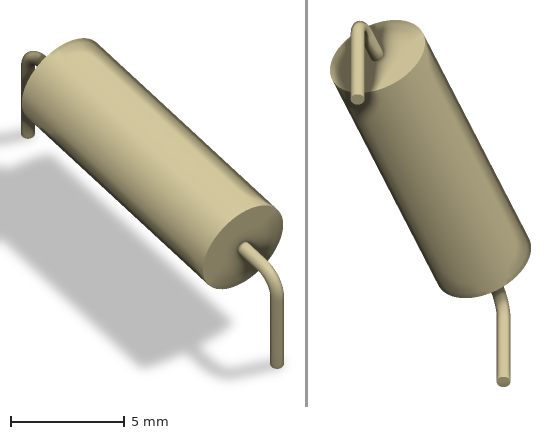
import cadquery as cq

overall_length = 18.38
overall_height = 7.7

body_diameter = 4.5
body_length = 12.92

wire_diameter = 0.6
bend_radius = 1.08

lead_x = (overall_length - wire_diameter) / 2
body_end_x = body_length / 2
lead_bottom_z = body_diameter / 2 - overall_height


def make_body():
    """Plain cylinder centred on the origin."""
    return (
        cq.Workplane("YZ", origin=(-body_end_x, 0, 0))
        .circle(body_diameter / 2)
        .extrude(body_length)
    )


def make_lead(side):
    """Round wire from the body's end face out and down; side is -1 or +1 along X."""
    bend_start_x = lead_x - bend_radius
    path = (
        cq.Workplane("XZ")
        .moveTo(side * body_end_x, 0)
        .lineTo(side * bend_start_x, 0)
        .tangentArcPoint((side * lead_x, -bend_radius), relative=False)
        .lineTo(side * lead_x, lead_bottom_z)
    )
    return (
        cq.Workplane("YZ", origin=(side * body_end_x, 0, 0))
        .circle(wire_diameter / 2)
        .sweep(path)
    )


body = make_body()
leads = [make_lead(side) for side in (-1, 1)]

result = cq.Compound.makeCompound([body.val(), *[lead.val() for lead in leads]])